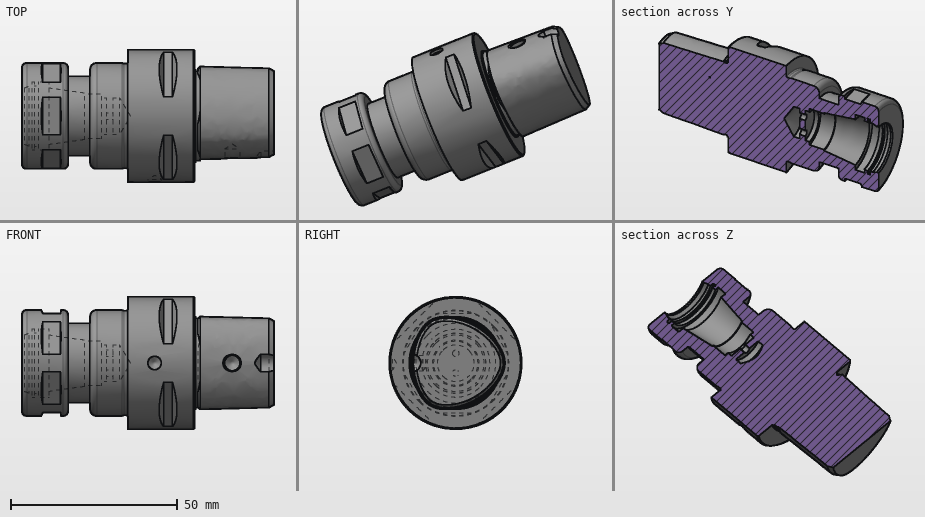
import cadquery as cq
import math

LENGTH = 76.0
NUT_END = 14.0
COLLAR_START = 20.5
FLANGE_START = 31.9
FLANGE_END = 52.05
TAPER_START = 53.7

NUT_DIA = 32.0
NUT_FRONT_FILLET = 1.45
NUT_REAR_FILLET = 1.6
NUT_FLAT_COUNT = 6
NUT_FLAT_DISTANCE = 15.0
NUT_FLAT_START = 6.3
NUT_FLAT_END = 11.6
NUT_FLAT_FRONT_ANGLE = 25.0
NUT_FLAT_REAR_ANGLE = 10.0

NECK_DIA = 24.0
COLLAR_DIA = 32.0
COLLAR_FILLET = 2.05
COLLAR_RELIEF_DIA = 31.6
COLLAR_RELIEF_START = 30.1
COLLAR_RELIEF_LEAD = 0.6
COLLAR_RELIEF_FILLET = 0.4

FLANGE_DIA = 40.0
FLANGE_CHAMFER = 0.4
NOTCH_COUNT = 4
NOTCH_FIRST_ANGLE = 45.0
NOTCH_FLOOR_START = 42.7
NOTCH_FLOOR_WIDTH = 2.65
NOTCH_FLOOR_DISTANCE = 17.6
NOTCH_SIDE_ANGLE = 30.0
MARK_HOLE_X = 40.0
MARK_HOLE_DIA = 4.0
MARK_HOLE_DEPTH = 1.0

RELIEF_SHOULDER_DIA = 28.0
RELIEF_SHOULDER_WIDTH = 0.4
RELIEF_DIA = 27.05

POLYGON_DIA = 28.05
POLYGON_LOBE = 0.9
POLYGON_TAPER = 1 / 20
POLYGON_BACK_CHAMFER = 0.7
POLYGON_POINTS = 72
NOSE_LENGTH = 1.6
NOSE_DROP = 0.8

PIN_HOLE_X = 63.4
PIN_HOLE_DIA = 4.6
PIN_HOLE_MOUTH_DIA = 5.5
PIN_HOLE_DEPTH = 3.05
KEY_DIA = 5.5
KEY_LENGTH = 4.1
KEY_TIP_LENGTH = 2.1
KEY_AXIS_Y = -13.2

DRILL_TIP_ANGLE = 118.0

OVERRUN = 0.75

MOUTH_DIA = 17.0
MOUTH_LAND = 0.7
SEAT_DIA = 18.0
SEAT_START = 2.05
GROOVE_START = 3.0
GROOVE_DIA = 20.5
RIB_START = 3.8
RIB_END = 5.0
RIB_DIA = 18.2

CONE_START = 8.05
CONE_DIA = 17.0
CONE_END_DIA = 14.0
CONE_HALF_ANGLE = 8.0
THREAD_DIA = 13.3
THREAD_LENGTH = 5.0
FLOOR_DIA = 11.0
FLOOR_STEP = 1.5
PLUG_THICKNESS = 2.0
PLUG_HOLE_DIA = 2.0
PLUG_HOLE_OFFSET = 3.0
CHAMBER_LENGTH = 2.0


def drill_tip(diameter):
    """Length of a drill point of the given diameter."""
    return diameter / 2 / math.tan(math.radians(DRILL_TIP_ANGLE / 2))


def revolve_profile(profile):
    """Turn a closed (x, radius) sketch about the X axis."""
    return profile.close().revolve(360, (0, 0, 0), (1, 0, 0))


def turned_body():
    nut = cq.Workplane("YZ").circle(NUT_DIA / 2).extrude(NUT_END)
    nut = nut.faces("<X").edges().fillet(NUT_FRONT_FILLET)
    nut = nut.faces(">X").edges().fillet(NUT_REAR_FILLET)

    neck = cq.Workplane("YZ").workplane(offset=NUT_END).circle(NECK_DIA / 2)
    neck = neck.extrude(COLLAR_START - NUT_END)

    relief_r = COLLAR_RELIEF_DIA / 2
    collar = revolve_profile(
        cq.Workplane("XY")
        .moveTo(COLLAR_START, 0)
        .lineTo(COLLAR_START, COLLAR_DIA / 2)
        .lineTo(COLLAR_RELIEF_START, COLLAR_DIA / 2)
        .lineTo(COLLAR_RELIEF_START + COLLAR_RELIEF_LEAD, relief_r)
        .lineTo(FLANGE_START - COLLAR_RELIEF_FILLET, relief_r)
        .radiusArc((FLANGE_START, relief_r + COLLAR_RELIEF_FILLET), -COLLAR_RELIEF_FILLET)
        .lineTo(FLANGE_START, 0)
    )
    collar = collar.faces("<X").edges().fillet(COLLAR_FILLET)

    flange = cq.Workplane("YZ").workplane(offset=FLANGE_START).circle(FLANGE_DIA / 2)
    flange = flange.extrude(FLANGE_END - FLANGE_START).faces(">X").edges().chamfer(FLANGE_CHAMFER)

    shoulder = cq.Workplane("YZ").workplane(offset=FLANGE_END).circle(RELIEF_SHOULDER_DIA / 2)
    shoulder = shoulder.extrude(RELIEF_SHOULDER_WIDTH)
    relief = cq.Workplane("YZ").workplane(offset=FLANGE_END).circle(RELIEF_DIA / 2)
    relief = relief.extrude(TAPER_START - FLANGE_END)
    return nut.union(neck).union(collar).union(flange).union(shoulder).union(relief)


def taper_radius(x):
    """Mean radius of the polygon taper at x."""
    return POLYGON_DIA / 2 - (x - TAPER_START) * POLYGON_TAPER / 2


def polygon_wire(x, inset=0.0):
    """Constant-width three-lobed outline at x, with one lobe toward +Y."""
    mean_radius = taper_radius(x) - inset

    def point(turn):
        reach = mean_radius - POLYGON_LOBE * math.sin(3 * turn)
        slope = -3 * POLYGON_LOBE * math.cos(3 * turn)
        y = reach * math.sin(turn) + slope * math.cos(turn)
        z = reach * math.cos(turn) - slope * math.sin(turn)
        return cq.Vector(x, y, z)

    turns = [2 * math.pi * i / POLYGON_POINTS - math.pi / 2 for i in range(POLYGON_POINTS)]
    return cq.Wire.assembleEdges([cq.Edge.makeSpline([point(t) for t in turns], periodic=True)])


def polygon_taper():
    nose_start = LENGTH - NOSE_LENGTH
    sections = [
        polygon_wire(TAPER_START - POLYGON_BACK_CHAMFER, POLYGON_BACK_CHAMFER),
        polygon_wire(TAPER_START),
        polygon_wire(nose_start),
        polygon_wire(LENGTH, NOSE_DROP),
    ]
    taper = cq.Workplane(cq.Solid.makeLoft(sections[:2], True))
    for front, rear in zip(sections[1:], sections[2:]):
        taper = taper.union(cq.Workplane(cq.Solid.makeLoft([front, rear], True)))
    return taper


def around_axis(cutter, count, first_angle):
    """Repeat a cutter evenly about the X axis."""
    cutters = cq.Workplane("XY")
    for i in range(count):
        turned = cutter.rotate((0, 0, 0), (1, 0, 0), first_angle + 360 * i / count)
        cutters = cutters.add(turned)
    return cutters.combine()


def flat_cutter(floor_start, floor_end, floor_distance, outside, front_angle, rear_angle):
    """Straight slot across the top with a flat floor and sides that lean outward."""
    height = outside - floor_distance
    front = floor_start - height * math.tan(math.radians(front_angle))
    rear = floor_end + height * math.tan(math.radians(rear_angle))
    return (
        cq.Workplane("XZ")
        .moveTo(floor_start, floor_distance)
        .lineTo(floor_end, floor_distance)
        .lineTo(rear, outside)
        .lineTo(front, outside)
        .close()
        .extrude(outside, both=True)
    )


def nut_flats():
    cutter = flat_cutter(
        NUT_FLAT_START,
        NUT_FLAT_END,
        NUT_FLAT_DISTANCE,
        NUT_DIA / 2 + OVERRUN,
        NUT_FLAT_FRONT_ANGLE,
        NUT_FLAT_REAR_ANGLE,
    )
    return around_axis(cutter, NUT_FLAT_COUNT, 0)


def gripper_notches():
    cutter = flat_cutter(
        NOTCH_FLOOR_START,
        NOTCH_FLOOR_START + NOTCH_FLOOR_WIDTH,
        NOTCH_FLOOR_DISTANCE,
        FLANGE_DIA / 2 + OVERRUN,
        NOTCH_SIDE_ANGLE,
        NOTCH_SIDE_ANGLE,
    )
    return around_axis(cutter, NOTCH_COUNT, NOTCH_FIRST_ANGLE)


def side_hole(x, diameter, surface_y, depth):
    """Drilled hole with a pointed end, entering from -Y."""
    rim_y = surface_y - OVERRUN
    floor_y = surface_y + depth
    profile = (
        cq.Workplane("XY")
        .moveTo(x, rim_y)
        .lineTo(x + diameter / 2, rim_y)
        .lineTo(x + diameter / 2, floor_y)
        .lineTo(x, floor_y + drill_tip(diameter))
        .close()
    )
    return profile.revolve(360, (x, 0, 0), (x, 1, 0))


def countersink(x, inner, outer, surface_y):
    """45 degree countersink at the mouth of a side hole."""
    depth = (outer - inner) / 2
    profile = (
        cq.Workplane("XY")
        .moveTo(x, surface_y - OVERRUN)
        .lineTo(x + outer / 2 + OVERRUN, surface_y - OVERRUN)
        .lineTo(x + outer / 2 - depth, surface_y + depth)
        .lineTo(x, surface_y + depth)
        .close()
    )
    return profile.revolve(360, (x, 0, 0), (x, 1, 0))


def key_bore():
    """Pointed bore along X that breaks out through the flat side of the taper."""
    key_start = LENGTH - KEY_LENGTH
    profile = (
        cq.Workplane("XY")
        .moveTo(LENGTH, KEY_AXIS_Y)
        .lineTo(LENGTH, KEY_AXIS_Y + KEY_DIA / 2)
        .lineTo(key_start, KEY_AXIS_Y + KEY_DIA / 2)
        .lineTo(key_start - KEY_TIP_LENGTH, KEY_AXIS_Y)
        .close()
    )
    return profile.revolve(360, (0, KEY_AXIS_Y, 0), (1, KEY_AXIS_Y, 0))


def collet_bore():
    cone_end = CONE_START + (CONE_DIA - CONE_END_DIA) / 2 / math.tan(math.radians(CONE_HALF_ANGLE))
    thread_end = cone_end + THREAD_LENGTH
    floor = thread_end + FLOOR_STEP
    steps = [
        (0, 0),
        (0, MOUTH_DIA / 2),
        (MOUTH_LAND, MOUTH_DIA / 2),
        (SEAT_START, SEAT_DIA / 2),
        (GROOVE_START, SEAT_DIA / 2),
        (GROOVE_START, GROOVE_DIA / 2),
        (RIB_START, GROOVE_DIA / 2),
        (RIB_START, RIB_DIA / 2),
        (RIB_END, RIB_DIA / 2),
        (RIB_END, GROOVE_DIA / 2),
        (CONE_START, GROOVE_DIA / 2),
        (CONE_START, CONE_DIA / 2),
        (cone_end, CONE_END_DIA / 2),
        (cone_end, THREAD_DIA / 2),
        (thread_end, THREAD_DIA / 2),
        (thread_end, FLOOR_DIA / 2),
        (floor, FLOOR_DIA / 2),
        (floor, 0),
    ]
    bore = revolve_profile(cq.Workplane("XY").polyline(steps))

    chamber_start = floor + PLUG_THICKNESS
    chamber_end = chamber_start + CHAMBER_LENGTH
    chamber_steps = [
        (chamber_start, 0),
        (chamber_start, FLOOR_DIA / 2),
        (chamber_end, FLOOR_DIA / 2),
        (chamber_end + drill_tip(FLOOR_DIA), 0),
    ]
    chamber = revolve_profile(cq.Workplane("XY").polyline(chamber_steps))

    plug_holes = (
        cq.Workplane("YZ")
        .workplane(offset=floor)
        .pushPoints([(0, PLUG_HOLE_OFFSET), (0, -PLUG_HOLE_OFFSET)])
        .circle(PLUG_HOLE_DIA / 2)
        .extrude(PLUG_THICKNESS)
    )
    return bore.union(chamber).union(plug_holes)


pin_surface_y = POLYGON_LOBE - taper_radius(PIN_HOLE_X)

result = (
    turned_body()
    .union(polygon_taper())
    .cut(nut_flats())
    .cut(gripper_notches())
    .cut(side_hole(MARK_HOLE_X, MARK_HOLE_DIA, -FLANGE_DIA / 2, MARK_HOLE_DEPTH))
    .cut(side_hole(PIN_HOLE_X, PIN_HOLE_DIA, pin_surface_y, PIN_HOLE_DEPTH))
    .cut(countersink(PIN_HOLE_X, PIN_HOLE_DIA, PIN_HOLE_MOUTH_DIA, pin_surface_y))
    .cut(key_bore())
    .cut(collet_bore())
)